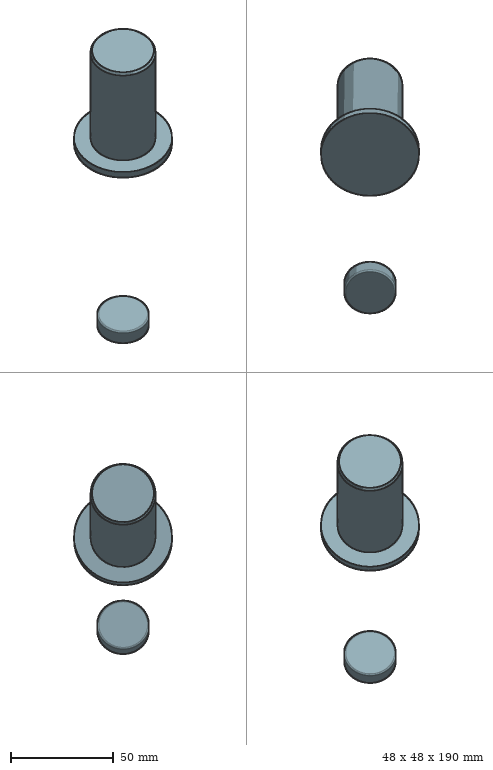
import cadquery as cq
import math

total_height = 190.0

flange_diameter = 48.0
flange_thickness = 4.0
shank_diameter = 32.0
pin_height = 64.0
pin_chamfer_height = 1.5
pin_chamfer_angle = 30.0
pin_chamfer_width = pin_chamfer_height * math.tan(math.radians(pin_chamfer_angle))

disc_diameter = 25.5
disc_thickness = 8.4
disc_fillet = 0.8


def make_pin():
    """Round shank on a wider flange, with a steep chamfer around the top edge."""
    flange = cq.Workplane("XY").circle(flange_diameter / 2).extrude(flange_thickness)
    shank = (
        cq.Workplane("XY")
        .circle(shank_diameter / 2)
        .extrude(pin_height)
        .faces(">Z")
        .edges()
        .chamfer(pin_chamfer_height, pin_chamfer_width)
    )
    return flange.union(shank).translate((0, 0, total_height - pin_height))


def make_disc():
    """Short cylinder with both rims rounded."""
    return (
        cq.Workplane("XY")
        .circle(disc_diameter / 2)
        .extrude(disc_thickness)
        .faces("<Z or >Z")
        .edges()
        .fillet(disc_fillet)
    )


pin = make_pin()
disc = make_disc()

result = cq.Compound.makeCompound([pin.val(), disc.val()])